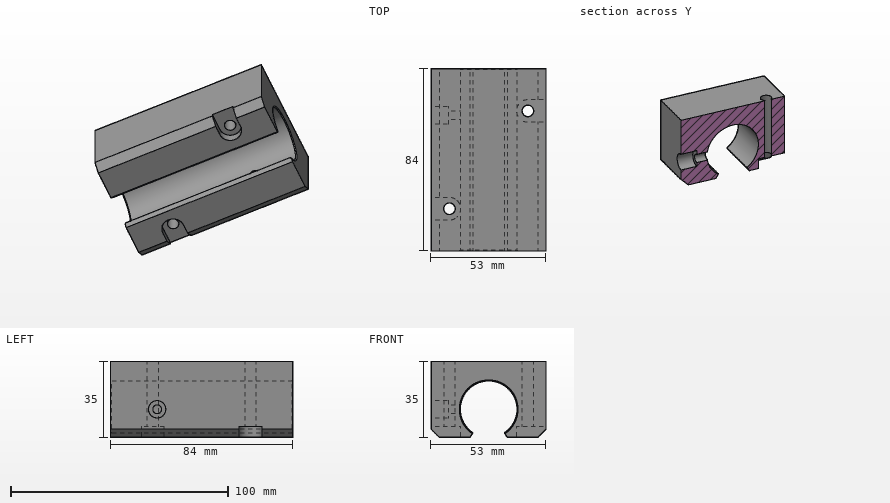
import cadquery as cq
import math

width = 53.0
length = 84.0
height = 35.0
corner_chamfer = 3.8

bore_diameter = 26.0
bore_height = 12.9
bore_chamfer = 0.5
opening_half_angle = 33.5

mount_x = 18.1
mount_y = 22.5
mount_diameter = 5.2
head_slot_width = 10.4
head_slot_depth = 5.0

cross_y = 20.5
cross_diameter = 4.0
cross_counterbore_diameter = 8.0
cross_counterbore_depth = 8.0


def make_block():
    """Rectangular block with its lower long edges chamfered."""
    block = cq.Workplane("XY").box(width, length, height, centered=(True, True, False))
    return block.faces("<Z").edges("|Y").chamfer(corner_chamfer)


def make_bore():
    """Full bore, the cones that chamfer its ends, and its flared lower opening."""
    radius = bore_diameter / 2
    mouth_radius = radius + bore_chamfer
    half_length = length / 2
    profile = [
        (0, -half_length),
        (mouth_radius, -half_length),
        (radius, -half_length + bore_chamfer),
        (radius, half_length - bore_chamfer),
        (mouth_radius, half_length),
        (0, half_length),
    ]
    bore = (
        cq.Workplane("XY")
        .polyline(profile)
        .close()
        .revolve(360, (0, 0), (0, 1))
        .translate((0, 0, bore_height))
    )
    half_opening = bore_height * math.tan(math.radians(opening_half_angle))
    opening = (
        cq.Workplane("XZ")
        .polyline([(0, bore_height), (-half_opening, 0), (half_opening, 0)])
        .close()
        .extrude(half_length, both=True)
    )
    return bore.union(opening)


def make_mount_cut(side):
    """Through hole with a round-ended bottom slot running out of one side."""
    x = side * mount_x
    y = side * mount_y
    hole = cq.Workplane("XY").center(x, y).circle(mount_diameter / 2).extrude(height)
    slot_end = cq.Workplane("XY").center(x, y).circle(head_slot_width / 2).extrude(head_slot_depth)
    slot_run = width / 2 - mount_x
    slot = (
        cq.Workplane("XY")
        .center(x + side * slot_run / 2, y)
        .rect(slot_run, head_slot_width)
        .extrude(head_slot_depth)
    )
    return hole.union(slot_end).union(slot)


def make_cross_hole():
    """Counterbored hole from the -X face to the bore axis."""
    start = cq.Workplane("YZ", origin=(-width / 2, cross_y, bore_height))
    hole = start.circle(cross_diameter / 2).extrude(width / 2)
    counterbore = start.circle(cross_counterbore_diameter / 2).extrude(cross_counterbore_depth)
    return hole.union(counterbore)


result = make_block().cut(make_bore()).cut(make_cross_hole())
for side in (-1, 1):
    result = result.cut(make_mount_cut(side))